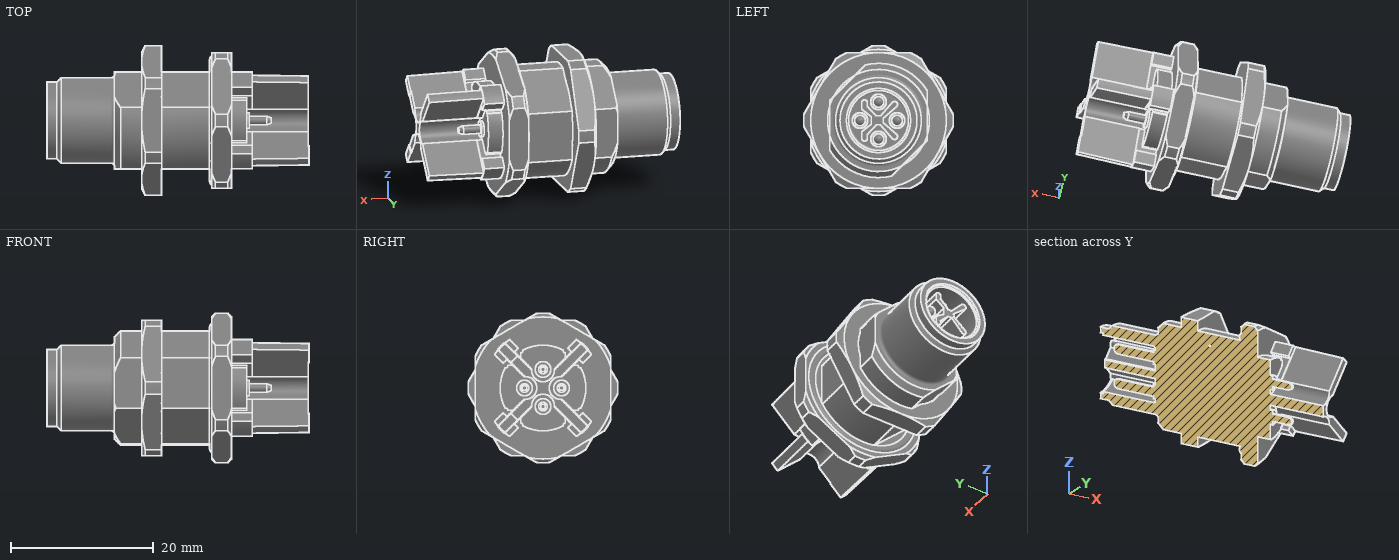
import cadquery as cq
import math


rim_radius = 10.8 / 2
rim_length = 1.4
sleeve_radius = 12.0 / 2
sleeve_cone_end = 2.0
sleeve_end = 9.0
neck_fillet = 0.45
socket_step_radius = 9.0 / 2
socket_step_depth = 0.4
socket_radius = 8.4 / 2
socket_floor_fillet = 0.3
socket_floor = 9.0

housing_start = sleeve_end + neck_fillet
housing_radius = 8.0
housing_nose_radius = 7.15
housing_nose_length = 0.85
housing_flat_distance = 6.8
housing_flat_angles = (0, 45, 180, 225)

nut_width = 19.0
nut_corner_radius = 21.0 / 2
nut_thickness = 2.8
front_nut_start = 13.25
front_nut_chamfer = 0.5
front_nut_face_radius = nut_width / 2
front_nut_bore_radius = 7.13
rear_nut_start = 23.05
rear_nut_chamfer = 0.55
rear_nut_face_radius = nut_corner_radius - rear_nut_chamfer
rear_nut_end = rear_nut_start + nut_thickness

seal_radius = 8.43
seal_wire_radius = 0.7
seal_protrusion = 0.3
seal_centre = rear_nut_start - seal_protrusion + seal_wire_radius

pin_circle_radius = 2.6
pin_radius = 1.5 / 2
pin_tip = 2.2
earth_pin_tip = 1.15
earth_pin_angle = 0
tail_radius = 1.2 / 2
tail_tip_radius = 0.35
tail_tip_length = 0.6
tail_end = 31.4
collar_radius = 2.2 / 2
collar_lip_radius = 2.12 / 2
collar_lip_length = 0.3
collar_end = 28.3

screen_front = 0.7
screen_root_half_width = 0.21
straight_arm_cap = 2.25
straight_arm_half_width = 0.42
bent_arm_knee = 1.95
bent_arm_cap_height = 2.5
bent_arm_half_width = 0.39
hub_half_height = 0.63
hub_flat_half_width = 0.32
hub_right = 0.66
hub_right_half_height = 0.25
hub_left = 1.04
hub_left_half_height = 0.64

insert_radius = 6.0
insert_edge_radius = 5.8
insert_half_width = 2.85
insert_edge_half_width = 3.15
insert_end = 27.95
holder_end = 28.75
holder_radius = 8.25
holder_inner = 6.4
holder_half_width = 1.49
stem_half_width = 0.75
core_radius = 1.3
wing_root_radius = 8.33
wing_end_radius = 8.2
wing_half_width = 0.67
wing_end = 36.6
wing_lip_end = 36.7
wing_lip_inner = 5.7
wire_groove_radius = 1.58
wire_groove_centre = 2.45
diagonal_angles = (45, 135, 225, 315)
lipped_wing_angles = (135, 225)
cross_angles = (0, 90, 180, 270)


def revolve_profile(points):
    """Revolve a closed (x, radius) outline about the X axis."""
    outline = cq.Workplane("XY").polyline(points).close()
    return outline.revolve(360, (0, 0, 0), (1, 0, 0))


def cylinder(start, end, radius):
    return cq.Workplane("YZ").workplane(offset=start).circle(radius).extrude(end - start)


def turn(shape, angle):
    """Rotate a shape about the X axis; angle 0 keeps +Y, 90 brings +Y to +Z."""
    return shape.rotate((0, 0, 0), (1, 0, 0), angle)


def radial_bar(start, end, inner, outer, half_width):
    """Box reaching along +Y between two distances from the axis."""
    bar = cq.Workplane("YZ").workplane(offset=start)
    bar = bar.center((inner + outer) / 2, 0).rect(outer - inner, 2 * half_width)
    return bar.extrude(end - start)


def make_sleeve():
    return (
        cq.Workplane("XY")
        .lineTo(0, rim_radius)
        .lineTo(rim_length, rim_radius)
        .lineTo(sleeve_cone_end, sleeve_radius)
        .lineTo(sleeve_end, sleeve_radius)
        .radiusArc((housing_start, sleeve_radius + neck_fillet), -neck_fillet)
        .lineTo(housing_start, 0)
        .close()
        .revolve(360, (0, 0, 0), (1, 0, 0))
    )


def make_housing():
    housing = revolve_profile([
        (housing_start, 0),
        (housing_start, housing_nose_radius),
        (housing_start + housing_nose_length, housing_radius),
        (rear_nut_end, housing_radius),
        (rear_nut_end, 0),
    ])
    for angle in housing_flat_angles:
        waste = radial_bar(
            housing_start, rear_nut_start, housing_flat_distance, 2 * housing_radius, housing_radius
        )
        housing = housing.cut(turn(waste, angle))
    return housing


def make_hexagon(start, corner_angle):
    hexagon = cq.Workplane("YZ").workplane(offset=start)
    hexagon = hexagon.polygon(6, nut_width / math.cos(math.radians(30))).extrude(nut_thickness)
    return turn(hexagon, corner_angle)


def make_front_nut():
    """Nut with turned corners, chamfered on its front face only."""
    end = front_nut_start + nut_thickness
    envelope = revolve_profile([
        (front_nut_start, front_nut_bore_radius),
        (front_nut_start, front_nut_face_radius),
        (front_nut_start + front_nut_chamfer, nut_corner_radius),
        (end, nut_corner_radius),
        (end, front_nut_bore_radius),
    ])
    return make_hexagon(front_nut_start, 0).intersect(envelope)


def make_rear_nut():
    """Nut with turned corners, chamfered on both faces."""
    envelope = revolve_profile([
        (rear_nut_start, 0),
        (rear_nut_start, rear_nut_face_radius),
        (rear_nut_start + rear_nut_chamfer, nut_corner_radius),
        (rear_nut_end - rear_nut_chamfer, nut_corner_radius),
        (rear_nut_end, rear_nut_face_radius),
        (rear_nut_end, 0),
    ])
    return make_hexagon(rear_nut_start, 90).intersect(envelope)


def make_seal():
    ring = cq.Workplane("XY").center(seal_centre, seal_radius).circle(seal_wire_radius)
    return ring.revolve(360, (-seal_centre, -seal_radius, 0), (1 - seal_centre, -seal_radius, 0))


def make_socket():
    step = cylinder(0, socket_step_depth, socket_step_radius)
    bore = cylinder(0, socket_floor, socket_radius).faces(">X").edges().fillet(socket_floor_fillet)
    return step.union(bore)


def make_pin(tip):
    """Contact with a ball tip, a collar in the socket floor and a pointed tail."""
    lip_end = socket_floor - collar_lip_length
    profile = (
        cq.Workplane("XY")
        .moveTo(tip, 0)
        .radiusArc((tip + pin_radius, pin_radius), pin_radius)
        .lineTo(lip_end, pin_radius)
        .lineTo(lip_end, collar_lip_radius)
        .lineTo(socket_floor, collar_radius)
        .lineTo(collar_end, collar_radius)
        .lineTo(collar_end, tail_radius)
        .lineTo(tail_end - tail_tip_length, tail_radius)
        .lineTo(tail_end, tail_tip_radius)
        .lineTo(tail_end, 0)
        .close()
    )
    pin = profile.revolve(360, (0, 0, 0), (1, 0, 0))
    return pin.translate((0, pin_circle_radius, 0))


def screen_prism(points):
    """Extrude an outline given in (-Y, Z) over the length of the socket screen."""
    outline = [(-across, up) for across, up in points]
    plane = cq.Workplane("YZ").workplane(offset=screen_front)
    return plane.polyline(outline).close().extrude(socket_floor - screen_front)


def screen_post(across, up, radius):
    return cylinder(screen_front, socket_floor, radius).translate((0, -across, up))


def make_socket_screen():
    """Cross wall with a central hub, two straight arms and two arms with bent ends."""
    screen = screen_prism([
        (hub_flat_half_width, hub_half_height),
        (hub_right, hub_right_half_height),
        (hub_right, -hub_right_half_height),
        (hub_flat_half_width, -hub_half_height),
        (-hub_flat_half_width, -hub_half_height),
        (-hub_left, -hub_left_half_height),
        (-hub_left, hub_left_half_height),
        (-hub_flat_half_width, hub_half_height),
    ])
    root = screen_root_half_width * math.sqrt(0.5)
    tip = straight_arm_half_width * math.sqrt(0.5)
    bend = bent_arm_half_width
    for side in (1, -1):
        straight_arm = screen_prism([
            (-root, side * root),
            (straight_arm_cap - tip, side * (straight_arm_cap + tip)),
            (straight_arm_cap + tip, side * (straight_arm_cap - tip)),
            (root, -side * root),
        ])
        bent_arm = screen_prism([
            (root, side * root),
            (-bent_arm_knee + bend, side * bent_arm_knee),
            (-bent_arm_knee + bend, side * bent_arm_cap_height),
            (-bent_arm_knee - bend, side * bent_arm_cap_height),
            (-bent_arm_knee - bend, side * (bent_arm_knee - bend)),
            (-root, -side * root),
        ])
        screen = screen.union(straight_arm).union(bent_arm)
        screen = screen.union(screen_post(straight_arm_cap, side * straight_arm_cap, straight_arm_half_width))
        screen = screen.union(screen_post(-bent_arm_knee, side * bent_arm_cap_height, bend))
    return screen


def make_insert_layer(radius, half_width):
    """Cross-shaped block whose four ends are rounded about the axis."""
    block = radial_bar(rear_nut_end, insert_end, -radius, radius, half_width)
    block = block.union(turn(block, 90))
    return block.intersect(cylinder(rear_nut_end, insert_end, radius))


def make_wing():
    """Screen wing along +Y with the thicker holder that carries it behind the nut."""
    wing = radial_bar(holder_end, wing_end, 0, wing_root_radius, wing_half_width)
    wing = wing.intersect(revolve_profile([
        (holder_end, 0),
        (holder_end, wing_root_radius),
        (wing_end, wing_end_radius),
        (wing_end, 0),
    ]))
    stem = radial_bar(rear_nut_end, holder_end, 0, holder_radius, stem_half_width)
    head = radial_bar(rear_nut_end, holder_end, holder_inner, holder_radius, holder_half_width)
    holder = stem.union(head).intersect(cylinder(rear_nut_end, holder_end, holder_radius))
    return wing.union(holder)


def make_screen_wings():
    """Four diagonal wings joined by a core, with a groove for a wire between each pair."""
    wings = cylinder(rear_nut_end, wing_end, core_radius)
    for angle in diagonal_angles:
        wings = wings.union(turn(make_wing(), angle))
    for angle in lipped_wing_angles:
        lip = radial_bar(wing_end, wing_lip_end, wing_lip_inner, wing_end_radius, wing_half_width)
        lip = lip.intersect(cylinder(wing_end, wing_lip_end, wing_end_radius))
        wings = wings.union(turn(lip, angle))
    for angle in cross_angles:
        groove = cylinder(rear_nut_end, wing_end, wire_groove_radius)
        groove = groove.translate((0, wire_groove_centre, 0))
        mouth = radial_bar(rear_nut_end, wing_end, wire_groove_centre, wing_root_radius, wire_groove_radius)
        wings = wings.cut(turn(groove.union(mouth), angle))
    return wings


result = make_sleeve().union(make_housing()).cut(make_socket())
result = result.union(make_front_nut())
result = result.union(make_rear_nut())
result = result.union(make_seal())
result = result.union(make_screen_wings())
result = result.union(make_insert_layer(insert_radius, insert_half_width))
result = result.union(make_insert_layer(insert_edge_radius, insert_edge_half_width))
result = result.union(make_socket_screen())
for angle in cross_angles:
    tip = earth_pin_tip if angle == earth_pin_angle else pin_tip
    result = result.union(turn(make_pin(tip), angle))